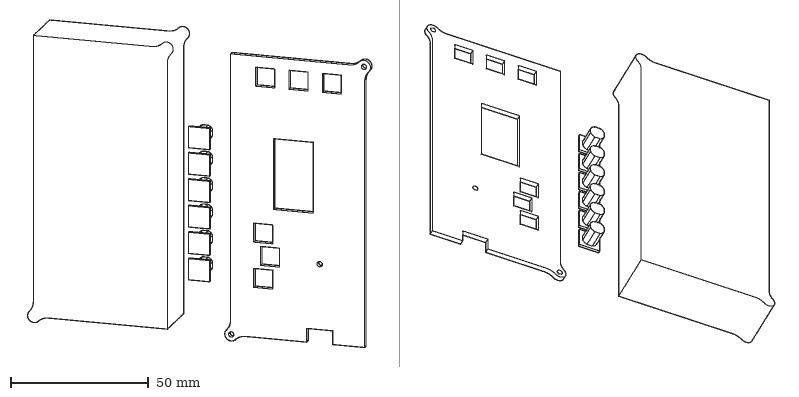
import cadquery as cq
import math


case_width = 51.0
case_height = 107.0
ear_radius = 2.5
ear_inset = 0.3
ear_fillet = 5.4

housing_depth = 20.0

plate_x = 75.0
plate_thickness = 2.0
small_hole_diameter = 2.0

key_opening = 7.2
top_key_x = 25.8
top_key_z = 99.2
top_key_pitch = 12.7
side_key_x = 12.4
side_key_shift = 2.6
side_key_z = 31.2
side_key_pitch = 8.6

window_width = 15.1
window_height = 26.9
window_x = 23.9
window_z = 62.8

port_x = 33.9
port_width = 9.9
port_height = 5.2
indicator_z = 30.1

button_count = 6
button_pitch = 10.0
button_x = 63.0
button_column_z = 48.7
flange_side = 8.1
flange_thickness = 1.0
button_depth = 8.0
stem_diameter = 5.9
stem_across_flats = 5.5


def front_sketch_plane(x, z, y=0.0):
    """Sketch plane facing -Y with local axes X and Z; a negative extrusion goes towards +Y."""
    return cq.Workplane("XZ", origin=(x, y, z))


def prism(x, z, width, height, depth, y=0.0):
    """Block centred on x and z that reaches from y towards +Y."""
    return front_sketch_plane(x, z, y).rect(width, height).extrude(-depth)


def case_body(left, depth):
    """Rectangle with a filleted round ear at its upper right and lower left corners."""
    half_width = case_width / 2
    half_height = case_height / 2

    centre_gap = ear_radius + ear_fillet
    fillet_start = ear_inset + math.sqrt(centre_gap**2 - (ear_fillet + ear_inset) ** 2)
    ear_share = ear_radius / centre_gap
    touch_along = ear_inset + (fillet_start - ear_inset) * ear_share
    touch_out = -ear_inset + (ear_fillet + ear_inset) * ear_share
    touch_angle = math.atan2(ear_fillet + ear_inset, fillet_start - ear_inset)
    fillet_middle_angle = (math.pi / 2 + touch_angle) / 2
    middle_along = fillet_start - ear_fillet * math.cos(fillet_middle_angle)
    middle_out = ear_fillet - ear_fillet * math.sin(fillet_middle_angle)
    tip_out = ear_radius * math.sqrt(0.5) - ear_inset

    def ear_points(sign):
        """Arc points of one ear; sign is 1 at the upper right and -1 at the lower left."""
        offsets = [
            (-fillet_start, 0),
            (-middle_along, middle_out),
            (-touch_along, touch_out),
            (tip_out, tip_out),
            (touch_out, -touch_along),
            (middle_out, -middle_along),
            (0, -fillet_start),
        ]
        return [(sign * (half_width + dx), sign * (half_height + dz)) for dx, dz in offsets]

    upper = ear_points(1)
    lower = ear_points(-1)
    outline = (
        front_sketch_plane(left + half_width, half_height)
        .moveTo(-half_width, half_height)
        .lineTo(*upper[0])
        .threePointArc(upper[1], upper[2])
        .threePointArc(upper[3], upper[4])
        .threePointArc(upper[5], upper[6])
        .lineTo(half_width, -half_height)
        .lineTo(*lower[0])
        .threePointArc(lower[1], lower[2])
        .threePointArc(lower[3], lower[4])
        .threePointArc(lower[5], lower[6])
        .close()
    )
    return outline.extrude(-depth)


def make_housing():
    return case_body(0.0, housing_depth)


def make_cover_plate():
    plate = case_body(plate_x, plate_thickness)

    key_places = []
    for step in (-1, 0, 1):
        key_places.append((top_key_x + step * top_key_pitch, top_key_z))
        shift = side_key_shift if step == 0 else 0.0
        key_places.append((side_key_x + shift, side_key_z + step * side_key_pitch))
    for x, z in key_places:
        plate = plate.cut(prism(plate_x + x, z, key_opening, key_opening, plate_thickness))

    window = prism(plate_x + window_x, window_z, window_width, window_height, plate_thickness)
    plate = plate.cut(window)

    notch = prism(plate_x + port_x, port_height / 2, port_width, port_height, plate_thickness)
    plate = plate.cut(notch)

    hole_places = [
        (ear_inset, ear_inset),
        (case_width - ear_inset, case_height - ear_inset),
        (port_x, indicator_z),
    ]
    holes = (
        front_sketch_plane(plate_x, 0.0)
        .pushPoints(hole_places)
        .circle(small_hole_diameter / 2)
        .extrude(-plate_thickness)
    )
    return plate.cut(holes)


def make_button(z):
    """Square flange with a round stem behind it that has four narrow flats."""
    flange = prism(button_x, z, flange_side, flange_side, flange_thickness)
    stem_length = button_depth - flange_thickness
    stem = (
        front_sketch_plane(button_x, z, flange_thickness)
        .circle(stem_diameter / 2)
        .extrude(-stem_length)
    )
    flats = prism(button_x, z, stem_across_flats, stem_across_flats, stem_length, flange_thickness)
    return flange.union(stem.intersect(flats))


housing = make_housing()
cover_plate = make_cover_plate()

buttons = []
for index in range(button_count):
    steps_from_middle = index - (button_count - 1) / 2
    buttons.append(make_button(button_column_z + steps_from_middle * button_pitch))

result = cq.Compound.makeCompound(
    [housing.val(), cover_plate.val(), *[button.val() for button in buttons]]
)